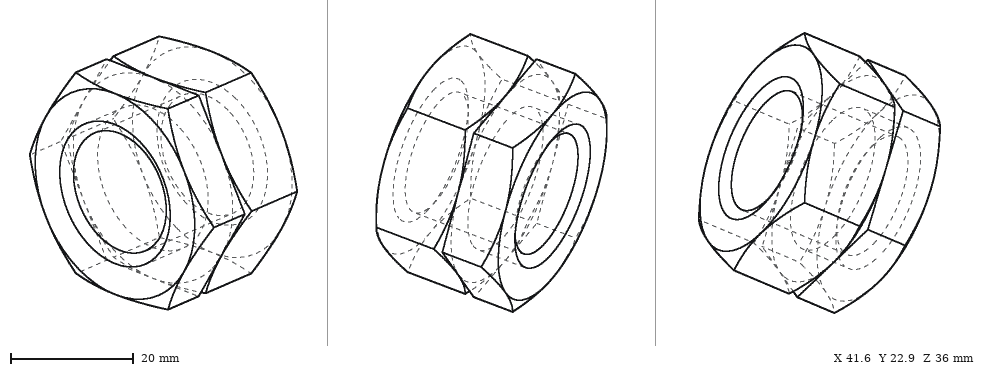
import cadquery as cq
import math

across_corners = 41.55
across_flats = across_corners * math.cos(math.pi / 6)
total_length = 22.9
jam_nut_length = 8.9

bore_diameter = 20.95
sleeve_diameter = 24.95
chamfer_angle = 30.0

front_face = -total_length / 2
joint_face = front_face + jam_nut_length
back_face = total_length / 2

corner_radius = across_corners / 2
face_radius = across_flats / 2
bore_radius = bore_diameter / 2
sleeve_radius = sleeve_diameter / 2

chamfer_slope = math.tan(math.radians(chamfer_angle))
corner_depth = (corner_radius - face_radius) * chamfer_slope
countersink_depth = (sleeve_radius - bore_radius) * chamfer_slope


def revolved(profile):
    """Turn a closed (radius, Y) profile about the Y axis."""
    return cq.Workplane("XY").polyline(profile).close().revolve(360, (0, 0, 0), (0, 1, 0))


def cylinder(radius, start, end):
    """Solid cylinder along Y between two Y positions."""
    return cq.Workplane("XZ", origin=(0, start, 0)).circle(radius).extrude(start - end)


def chamfered_hexagon(start, end, chamfer_end):
    """Hexagonal bar along Y, corners on X, chamfered at its start and optionally at its end."""
    bar = cq.Workplane("XZ", origin=(0, start, 0)).polygon(6, across_corners).extrude(start - end)
    profile = [(0, start), (face_radius, start), (corner_radius, start + corner_depth)]
    if chamfer_end:
        profile += [(corner_radius, end - corner_depth), (face_radius, end)]
    else:
        profile += [(corner_radius, end)]
    profile += [(0, end)]
    return bar.intersect(revolved(profile))


def countersunk_bore():
    """Full-length bore, widening to the sleeve diameter at both end faces."""
    return revolved([
        (0, front_face),
        (sleeve_radius, front_face),
        (bore_radius, front_face + countersink_depth),
        (bore_radius, back_face - countersink_depth),
        (sleeve_radius, back_face),
        (0, back_face),
    ])


def make_main_nut():
    """Thick nut with the sleeve that reaches forward to the front face."""
    hexagon = chamfered_hexagon(joint_face, back_face, chamfer_end=True)
    sleeve = cylinder(sleeve_radius, front_face, joint_face)
    return hexagon.union(sleeve).cut(countersunk_bore())


def make_jam_nut():
    """Thin nut that fits around the sleeve, with a plain face against the main nut."""
    hexagon = chamfered_hexagon(front_face, joint_face, chamfer_end=False)
    return hexagon.cut(cylinder(sleeve_radius, front_face, joint_face))


main_nut = make_main_nut()
jam_nut = make_jam_nut()

result = cq.Compound.makeCompound([main_nut.val(), jam_nut.val()])